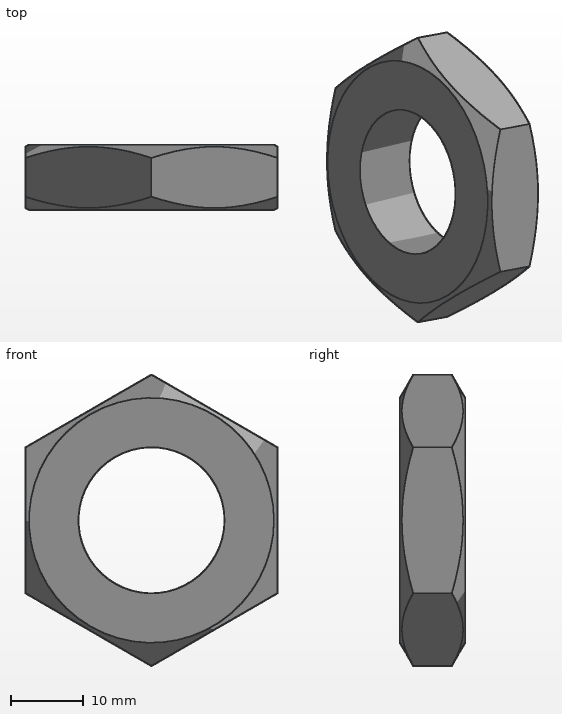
import cadquery as cq
import math

across_corners = 40.0
thickness = 9.0
bore_diameter = 20.0
face_diameter = 33.6
chamfer_angle = 30.0

corner_radius = across_corners / 2
face_radius = face_diameter / 2
half_thickness = thickness / 2
chamfer_depth = (corner_radius - face_radius) * math.tan(math.radians(chamfer_angle))
chamfer_start = half_thickness - chamfer_depth


def hexagonal_prism():
    """Hexagon with two corners on the Z axis, extruded along Y."""
    corner_angles = [math.radians(90 + 60 * i) for i in range(6)]
    corners = [(corner_radius * math.cos(a), corner_radius * math.sin(a)) for a in corner_angles]
    return cq.Workplane("XZ").polyline(corners).close().extrude(half_thickness, both=True)


def chamfer_envelope():
    """Turned blank whose conical ends trim the corners of the hexagon.

    The cones continue past the corners, so only the conical ends cut the prism.
    """
    tip_radius = corner_radius + chamfer_start / math.tan(math.radians(chamfer_angle))
    return (
        cq.Workplane("XY")
        .moveTo(0, -half_thickness)
        .lineTo(face_radius, -half_thickness)
        .lineTo(tip_radius, 0)
        .lineTo(face_radius, half_thickness)
        .lineTo(0, half_thickness)
        .close()
        .revolve(360, (0, 0, 0), (0, 1, 0))
    )


def bore():
    """Plain through hole along Y."""
    back_face = cq.Workplane("XZ", origin=(0, half_thickness, 0))
    return back_face.circle(bore_diameter / 2).extrude(thickness)


result = hexagonal_prism().intersect(chamfer_envelope()).cut(bore())